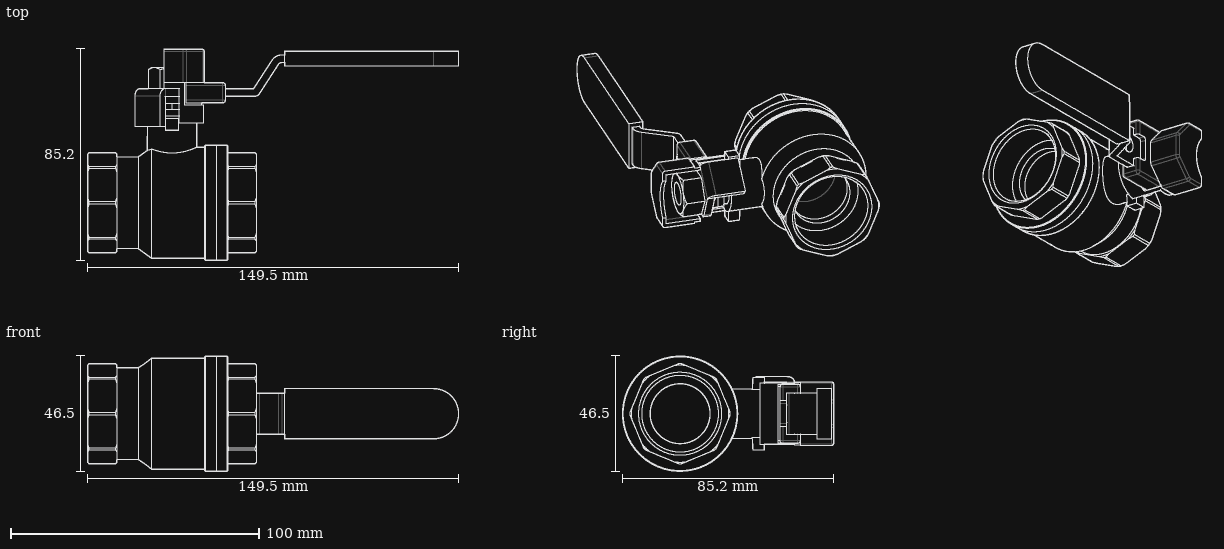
import cadquery as cq
import math


OVERALL_LENGTH = 149.5
OVERALL_DEPTH = 85.2
VALVE_LENGTH = 68.0
HALF_LENGTH = VALVE_LENGTH / 2
PORT_R = 24.0 / 2
THREAD_R = 31.0 / 2
THREAD_MOUTH_R = 16.7
THREAD_DEPTH = 14.5
OCTAGON_SIDES = 8
OCTAGON_R = 20.2
OCTAGON_APOTHEM = 18.8
OCTAGON_LENGTH = 11.8
OCTAGON_CHAMFER = 0.6

WAIST_R = 18.5
CONE_START_X = -13.6
CONE_END_X = -8.2
BARREL_R = 22.4
COLLAR_R = 46.5 / 2
COLLAR_START_X = 13.2
CAP_START_X = 18.0
COLLAR_CHAMFER = 0.3
CAP_COLLAR_END_X = HALF_LENGTH - OCTAGON_LENGTH + COLLAR_CHAMFER
BALL_R = 19.9
CAP_PLUG_START_X = 13.5

NECK_R = 10.0
NECK_TOP_Y = 35.0
LUG_WIDTH = 5.2
LUG_REACH_Z = 14.6
LUG_BOTTOM_Y = 28.5
LUG_TOP_Y = 33.9
LUG_TAPER = 0.7

STEM_R = 4.6
TONGUE_WIDTH = 4.5
TONGUE_LENGTH = 6.0
TONGUE_BOTTOM_Y = 16.5
GLAND_R = 6.9
GLAND_BOTTOM_Y = 26.9
GLAND_HEX_BOTTOM_Y = 37.5
GLAND_HEX_TOP_Y = 39.9
GLAND_HEX_R = 8.8

SHEET = 3.1
LEVER_TOP_Y = 46.0
LEVER_BOTTOM_Y = LEVER_TOP_Y - SHEET
LEVER_HALF_WIDTH = 16.6 / 2
LOWER_BEND_X = 34.5
UPPER_BEND_X = 43.3
OFFSET_BOTTOM_Y = 56.5
LOWER_BEND_R = 2.2
UPPER_BEND_R = 1.8
PADLOCK_X = 25.4
PADLOCK_R = 7.0 / 2
TAB_ANGLE = 135
TAB_REACH = 14.0
TAB_HALF_WIDTH = 7.2
TAB_BOTTOM_Y = 30.6
TAB_BEND_R = 3.0
HEAD_SIDE_POINT = (-8.4, -6.9)
HEAD_BACK_X = -7.2

GRIP_START_X = 45.3
GRIP_END_X = OVERALL_LENGTH - HALF_LENGTH
GRIP_HALF_WIDTH = 10.2
GRIP_THICKNESS = 6.0
GRIP_MID_Y = OFFSET_BOTTOM_Y + SHEET / 2

NUT_R = 9.5
NUT_TOP_Y = 54.5
NUT_CHAMFER_WIDTH = 1.3
NUT_CHAMFER_HEIGHT = 0.9

SLEEVE_TOP_Y = OVERALL_DEPTH - COLLAR_R
SLEEVE_BOTTOM_Y = 32.1
SKIRT_R = 12.7
HOOD_HALF_WIDTH = 12.9
HOOD_CAVITY_R = 11.0
SKIRT_CAVITY_R = 11.4
SLEEVE_ROOF = 1.5
SLEEVE_FRONT_X = -3.3
SLEEVE_BACK_X = 13.0
SKIRT_FRONT_X = 2.8
HOOD_BOTTOM_Y = 48.4
HOOD_BEVEL = 7.8
HOOD_BEVEL_ROUND = 2.0
HOOD_ROUND = 1.0
ROOF_NOTCH_R = 12.0
ROOF_NOTCH_DEPTH = 3.5
RELIEF_FRONT_X = 5.0
RELIEF_BOTTOM_Y = 39.5
RELIEF_FLOOR_R = 12.0

ARM_FRONT_X = 5.5
ARM_END_X = 21.5
ARM_BOTTOM_Y = 40.2
ARM_HALF_WIDTH = 12.0
ARM_ROUND = 1.2
ARM_NOTCH_X = 16.6
ARM_NOTCH_HALF_WIDTH = 5.2
ARM_NOTCH_ROUND = 1.2


def prism(outline, y_low, y_high):
    """Closed (x, z) outline extruded along Y."""
    return cq.Workplane("XZ", origin=(0, y_low, 0)).polyline(outline).close().extrude(y_low - y_high)


def block(x_low, x_high, y_low, y_high, half_width):
    """Box that is symmetric about Z = 0."""
    size = (x_high - x_low, y_high - y_low, 2 * half_width)
    return cq.Workplane("XY").box(*size, centered=(False, False, True)).translate((x_low, y_low, 0))


def rod(radius, y_low, y_high, x=0):
    """Round bar along Y."""
    return cq.Workplane("XZ", origin=(x, y_low, 0)).circle(radius).extrude(y_low - y_high)


def hexagon(corner_radius, y_low, y_high, first_corner):
    """Hexagonal bar along the stem axis; first_corner is the angle of one corner in degrees."""
    angles = [math.radians(first_corner + 60 * i) for i in range(6)]
    return prism([(corner_radius * math.cos(a), corner_radius * math.sin(a)) for a in angles], y_low, y_high)


def turned(profile):
    """Closed (x, radius) profile revolved about the flow axis."""
    return cq.Workplane("XY").polyline(profile).close().revolve(360, (0, 0, 0), (1, 0, 0))


def ball_envelope():
    """Full ball with its poles on the flow axis."""
    return cq.Workplane("XY").sphere(BALL_R).rotate((0, 0, 0), (0, 1, 0), 90)


def octagon_end():
    """Chamfered octagon of the -X end."""
    start = -HALF_LENGTH
    end = start + OCTAGON_LENGTH
    bevel_r = OCTAGON_R - OCTAGON_CHAMFER
    corner_r = OCTAGON_APOTHEM / math.cos(math.pi / OCTAGON_SIDES)
    face = cq.Workplane("YZ", origin=(start, 0, 0)).polygon(OCTAGON_SIDES, 2 * corner_r)
    bar = face.extrude(OCTAGON_LENGTH)
    limits = turned([
        (start, 0), (start, bevel_r), (start + OCTAGON_CHAMFER, OCTAGON_R),
        (end - OCTAGON_CHAMFER, OCTAGON_R), (end, bevel_r), (end, 0),
    ])
    return bar.intersect(limits)


def end_bore():
    """Threaded mouth of the -X end, leading to the clear passage."""
    start = -HALF_LENGTH
    mouth_end = start + THREAD_MOUTH_R - THREAD_R
    step = start + THREAD_DEPTH
    return turned([
        (start, 0), (start, THREAD_MOUTH_R), (mouth_end, THREAD_R),
        (step, THREAD_R), (step, PORT_R), (0, PORT_R), (0, 0),
    ])


def make_stop_lugs():
    """Two tapered lugs on opposite sides of the neck."""
    outline = [
        (LUG_BOTTOM_Y, 0), (LUG_BOTTOM_Y + LUG_TAPER, LUG_REACH_Z), (LUG_TOP_Y, LUG_REACH_Z), (LUG_TOP_Y, 0),
    ]
    lug = cq.Workplane("YZ").polyline(outline).close().extrude(LUG_WIDTH / 2, both=True)
    return lug.union(lug.mirror("XY"))


def make_body():
    octagon_end_x = -HALF_LENGTH + OCTAGON_LENGTH
    barrel = turned([
        (octagon_end_x, 0), (octagon_end_x, WAIST_R), (CONE_START_X, WAIST_R), (CONE_END_X, BARREL_R),
        (COLLAR_START_X, BARREL_R), (COLLAR_START_X, COLLAR_R - COLLAR_CHAMFER),
        (COLLAR_START_X + COLLAR_CHAMFER, COLLAR_R), (CAP_START_X, COLLAR_R), (CAP_START_X, 0),
    ])
    body = barrel.union(octagon_end()).union(rod(NECK_R, 0, NECK_TOP_Y)).union(make_stop_lugs())
    ball_chamber = turned([(0, 0), (0, BALL_R), (CAP_START_X, BALL_R), (CAP_START_X, 0)])
    body = body.cut(end_bore()).cut(ball_envelope()).cut(ball_chamber)
    return body.cut(rod(STEM_R, 0, NECK_TOP_Y)).cut(rod(GLAND_R, GLAND_BOTTOM_Y, NECK_TOP_Y))


def make_cap():
    """Screwed end cap; its plug closes the ball chamber."""
    collar = turned([
        (CAP_PLUG_START_X, 0), (CAP_PLUG_START_X, BALL_R), (CAP_START_X, BALL_R), (CAP_START_X, COLLAR_R),
        (CAP_COLLAR_END_X - COLLAR_CHAMFER, COLLAR_R), (CAP_COLLAR_END_X, COLLAR_R - COLLAR_CHAMFER),
        (CAP_COLLAR_END_X, 0),
    ])
    cap = collar.union(octagon_end().mirror("YZ"))
    return cap.cut(end_bore().mirror("YZ")).cut(ball_envelope())


def stem_tongue():
    return block(-TONGUE_LENGTH / 2, TONGUE_LENGTH / 2, TONGUE_BOTTOM_Y, NECK_TOP_Y, TONGUE_WIDTH / 2)


def make_ball():
    passage = cq.Workplane("YZ").circle(PORT_R).extrude(BALL_R, both=True)
    return ball_envelope().cut(passage).cut(stem_tongue())


def make_stem():
    return rod(STEM_R, BALL_R, NUT_TOP_Y).union(stem_tongue())


def make_gland():
    """Hexagon-headed gland that is screwed into the neck."""
    thread = rod(GLAND_R, GLAND_BOTTOM_Y, GLAND_HEX_BOTTOM_Y)
    head = hexagon(GLAND_HEX_R, GLAND_HEX_BOTTOM_Y, GLAND_HEX_TOP_Y, first_corner=30)
    return thread.union(head).cut(rod(STEM_R, GLAND_BOTTOM_Y, GLAND_HEX_TOP_Y))


def make_nut():
    """Stem nut with its outer corners turned off."""
    bar = hexagon(NUT_R, LEVER_TOP_Y, NUT_TOP_Y, first_corner=0)
    limits = (
        rod(NUT_R, LEVER_TOP_Y, NUT_TOP_Y).faces(">Y").edges()
        .chamfer(NUT_CHAMFER_HEIGHT, NUT_CHAMFER_WIDTH)
    )
    return bar.intersect(limits).cut(rod(STEM_R, LEVER_TOP_Y, NUT_TOP_Y))


def stop_tab():
    """Arm of the lever that folds down beside the neck."""
    outline = [
        (0, LEVER_BOTTOM_Y), (TAB_REACH - SHEET, LEVER_BOTTOM_Y), (TAB_REACH - SHEET, TAB_BOTTOM_Y),
        (TAB_REACH, TAB_BOTTOM_Y), (TAB_REACH, LEVER_TOP_Y), (0, LEVER_TOP_Y),
    ]
    tab = cq.Workplane("XY").polyline(outline).close().extrude(TAB_HALF_WIDTH, both=True)
    tab = tab.edges("|Z").edges(">X and >Y").fillet(TAB_BEND_R)
    return tab.rotate((0, 0, 0), (0, 1, 0), -TAB_ANGLE)


def lever_head():
    """Flat of the lever around the stem, widened to carry the stop tab."""
    along = (math.cos(math.radians(TAB_ANGLE)), math.sin(math.radians(TAB_ANGLE)))
    inner_reach = TAB_REACH - SHEET

    def tab_corner(side):
        offset = side * TAB_HALF_WIDTH
        return (inner_reach * along[0] + offset * along[1], inner_reach * along[1] - offset * along[0])

    outline = [
        tab_corner(1), tab_corner(-1), HEAD_SIDE_POINT, (HEAD_BACK_X, -LEVER_HALF_WIDTH),
        (SKIRT_FRONT_X, -LEVER_HALF_WIDTH), (SKIRT_FRONT_X, LEVER_HALF_WIDTH),
    ]
    return prism(outline, LEVER_BOTTOM_Y, LEVER_TOP_Y)


def lever_strip():
    """Joggled strip from the stem to inside the grip, with a round end."""
    climb = math.atan2(OFFSET_BOTTOM_Y - LEVER_BOTTOM_Y, UPPER_BEND_X - LOWER_BEND_X)
    bend_shift = SHEET * math.tan(climb / 2)
    end_x = GRIP_END_X - (GRIP_HALF_WIDTH - LEVER_HALF_WIDTH)
    outline = [
        (0, LEVER_BOTTOM_Y), (LOWER_BEND_X, LEVER_BOTTOM_Y), (UPPER_BEND_X, OFFSET_BOTTOM_Y),
        (end_x, OFFSET_BOTTOM_Y), (end_x, OFFSET_BOTTOM_Y + SHEET),
        (UPPER_BEND_X - bend_shift, OFFSET_BOTTOM_Y + SHEET),
        (LOWER_BEND_X - bend_shift, LEVER_TOP_Y), (0, LEVER_TOP_Y),
    ]
    strip = cq.Workplane("XY").polyline(outline).close().extrude(LEVER_HALF_WIDTH, both=True)
    lower = cq.selectors.NearestToPointSelector((LOWER_BEND_X, LEVER_BOTTOM_Y, 0))
    inner = cq.selectors.NearestToPointSelector((UPPER_BEND_X, OFFSET_BOTTOM_Y, 0))
    outer = cq.selectors.NearestToPointSelector((UPPER_BEND_X - bend_shift, OFFSET_BOTTOM_Y + SHEET, 0))
    strip = strip.edges("|Z").edges(lower).fillet(LOWER_BEND_R)
    strip = strip.edges("|Z").edges(inner).fillet(UPPER_BEND_R)
    strip = strip.edges("|Z").edges(outer).fillet(UPPER_BEND_R + SHEET)
    end_low = OFFSET_BOTTOM_Y
    end_centre_x = end_x - LEVER_HALF_WIDTH
    square_end = block(end_centre_x, end_x, end_low, end_low + SHEET, LEVER_HALF_WIDTH)
    round_end = rod(LEVER_HALF_WIDTH, end_low, end_low + SHEET, x=end_centre_x)
    return strip.cut(square_end.cut(round_end))


def make_lever():
    lever = lever_strip().union(lever_head()).union(stop_tab())
    holes = rod(STEM_R, LEVER_BOTTOM_Y, LEVER_TOP_Y).union(
        rod(PADLOCK_R, LEVER_BOTTOM_Y, LEVER_TOP_Y, x=PADLOCK_X)
    )
    return lever.cut(holes)


def make_grip():
    """Round-ended grip moulded over the raised end of the lever."""
    low = GRIP_MID_Y - GRIP_THICKNESS / 2
    centre_x = GRIP_END_X - GRIP_HALF_WIDTH
    grip = block(GRIP_START_X, centre_x, low, low + GRIP_THICKNESS, GRIP_HALF_WIDTH)
    grip = grip.union(rod(GRIP_HALF_WIDTH, low, low + GRIP_THICKNESS, x=centre_x))
    return grip.cut(lever_strip())


def sleeve_arm():
    """Rounded arm that encloses the lever and is notched around the padlock hole."""
    arm = block(ARM_FRONT_X, ARM_END_X, ARM_BOTTOM_Y, HOOD_BOTTOM_Y, ARM_HALF_WIDTH)
    arm = arm.edges("not <X").fillet(ARM_ROUND)
    notch = block(ARM_NOTCH_X, PADLOCK_X, ARM_BOTTOM_Y, HOOD_BOTTOM_Y, ARM_NOTCH_HALF_WIDTH)
    return arm.cut(notch.edges("|Y and <X").fillet(ARM_NOTCH_ROUND))


def make_sleeve():
    """Lock sleeve: an angular hood over the nut with a half-round skirt and an arm."""
    hood = block(SLEEVE_FRONT_X, SLEEVE_BACK_X, HOOD_BOTTOM_Y, SLEEVE_TOP_Y, HOOD_HALF_WIDTH)
    hood = hood.edges("|Y and >X").chamfer(HOOD_BEVEL)
    hood = hood.edges("|Y and (not <X)").fillet(HOOD_BEVEL_ROUND)
    hood = hood.faces(">Y").edges("not <X").fillet(HOOD_ROUND)
    skirt = rod(SKIRT_R, SLEEVE_BOTTOM_Y, HOOD_BOTTOM_Y)
    skirt = skirt.intersect(
        block(SKIRT_FRONT_X, SKIRT_R, SLEEVE_BOTTOM_Y, HOOD_BOTTOM_Y, SKIRT_R)
        .union(block(SLEEVE_FRONT_X, SKIRT_R, LEVER_TOP_Y, HOOD_BOTTOM_Y, SKIRT_R))
    )
    ceiling_y = SLEEVE_TOP_Y - SLEEVE_ROOF
    cavity = (
        rod(SKIRT_CAVITY_R, SLEEVE_BOTTOM_Y, LEVER_TOP_Y)
        .union(rod(HOOD_CAVITY_R, LEVER_TOP_Y, ceiling_y))
        .union(block(SLEEVE_FRONT_X, 0, LEVER_TOP_Y, ceiling_y, HOOD_CAVITY_R))
    )
    notch_x = SLEEVE_FRONT_X + ROOF_NOTCH_DEPTH - ROOF_NOTCH_R
    relief = block(RELIEF_FRONT_X, SKIRT_R, RELIEF_BOTTOM_Y, HOOD_BOTTOM_Y, SKIRT_R)
    relief = relief.cut(rod(RELIEF_FLOOR_R, RELIEF_BOTTOM_Y, HOOD_BOTTOM_Y))
    lever_slot = block(SKIRT_FRONT_X, ARM_END_X, LEVER_BOTTOM_Y, LEVER_TOP_Y, LEVER_HALF_WIDTH)
    return (
        skirt.cut(relief).union(hood).union(sleeve_arm()).cut(cavity).cut(lever_slot)
        .cut(rod(ROOF_NOTCH_R, ceiling_y, SLEEVE_TOP_Y, x=notch_x))
    )


body = make_body()
cap = make_cap()
ball = make_ball()
stem = make_stem()
gland = make_gland()
nut = make_nut()
lever = make_lever()
grip = make_grip()
sleeve = make_sleeve()

bodies = [body, cap, ball, stem, gland, nut, lever, grip, sleeve]

result = cq.Compound.makeCompound([part.solids().val() for part in bodies])